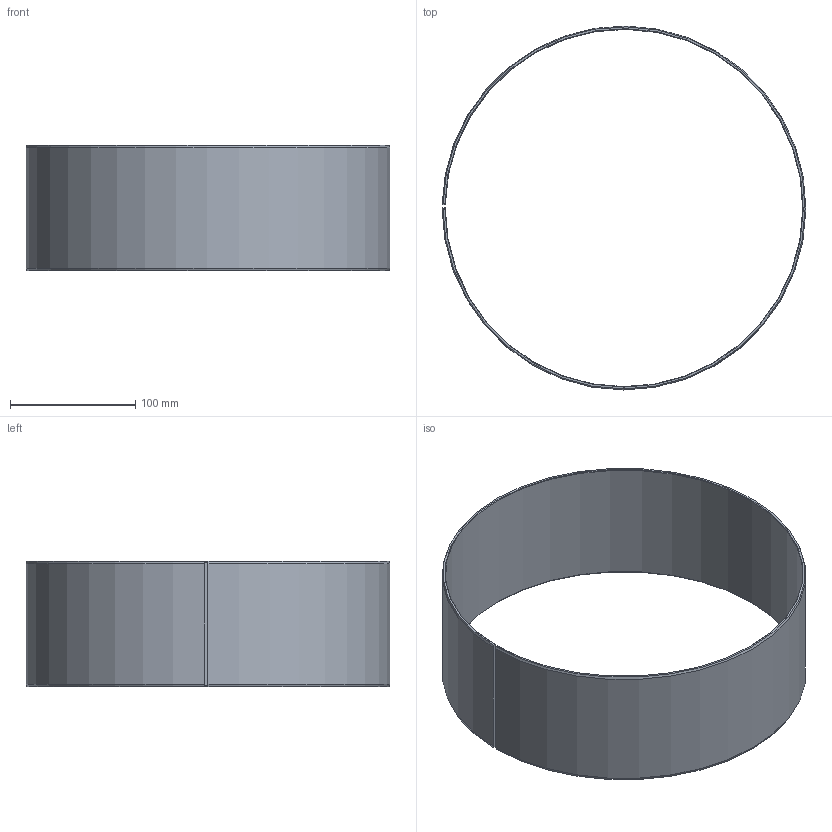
import cadquery as cq

outer_diameter = 290.0
height = 100.0
wall_thickness = 2.5
outer_bevel_height = 1.8
outer_bevel_depth = 0.65
inner_bevel_height = 0.6
inner_bevel_depth = 0.35
slit_angle = 1.0

outer_radius = outer_diameter / 2
inner_radius = outer_radius - wall_thickness


def wall_profile():
    """Cross-section of the wall on the -X side, bevelled on both faces at both rims."""
    rim_outer_radius = outer_radius - outer_bevel_depth
    rim_inner_radius = inner_radius + inner_bevel_depth
    return (
        cq.Workplane("XZ")
        .moveTo(-rim_inner_radius, 0)
        .lineTo(-rim_outer_radius, 0)
        .lineTo(-outer_radius, outer_bevel_height)
        .lineTo(-outer_radius, height - outer_bevel_height)
        .lineTo(-rim_outer_radius, height)
        .lineTo(-rim_inner_radius, height)
        .lineTo(-inner_radius, height - inner_bevel_height)
        .lineTo(-inner_radius, inner_bevel_height)
        .close()
    )


result = wall_profile().revolve(360 - slit_angle, (0, 0, 0), (0, 1, 0))